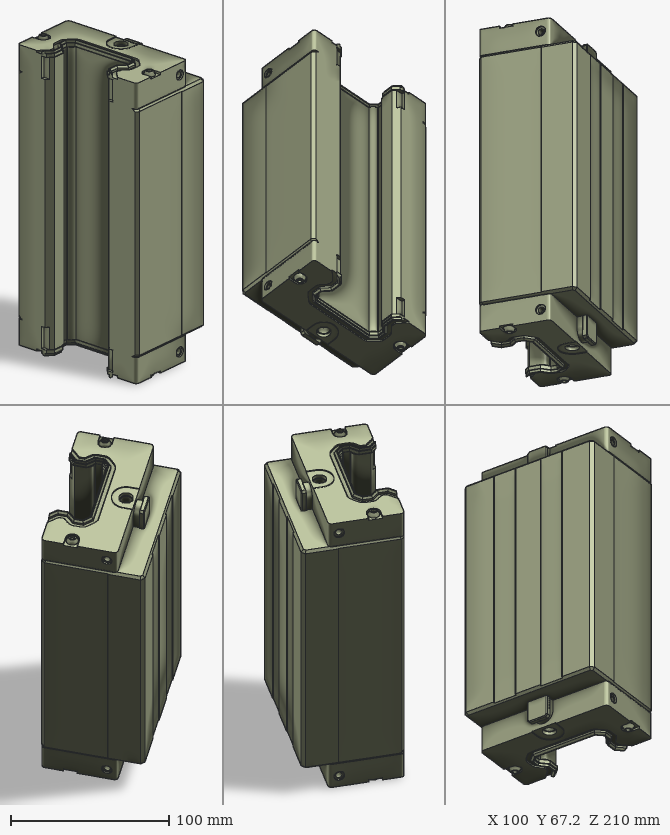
import cadquery as cq
import math


half_length = 105.0

block_width = 100.0
block_height = 67.2
block_half_length = 85.5
side_step = 0.2
side_step_y = 43.5
block_chamfer = 2.3
end_chamfer = 1.7
pad_groove_depth = 0.6
pad_groove_near_x = 9.7
pad_groove_far_x = 26.2

cap_width = 98.0
cap_height = 49.5
cap_top_z = 103.5
cap_top_fillet = 2.5
cap_bottom_fillet = 2.3

roof_y = 25.5
lip_x = 22.3
lip_bevel = 4.2
track_radius = 3.8
track_blend = 0.6
lower_track_y = 12.4
overcut = 10.5

notch_near_x = 21.0
notch_far_x = 29.2
notch_depth = 2.0
seal_bottom_z = 100.8

seal_roof_y = 25.0
seal_roof_corner_x = 22.7
seal_wall_x = 26.5
seal_wall_top_y = 21.5
seal_wall_bottom_y = 17.0
seal_lip_x = 21.6
seal_lip_top_y = 12.0
seal_lip_bottom_y = 3.8
rib_width = 2.7
rib_bevel = 1.3
rib_ledge_width = 0.8
rib_ledge_z = 103.3
recess_offset = 5.7
recess_floor_z = 102.3

screw_x = 43.7
screw_y = 19.0
screw_slot_width = 9.0
screw_seat_z = 102.0
screw_head_radius = 7.8 / 2
screw_shoulder_radius = 3.4
screw_crown_radius = 2.3
screw_socket_diameter = 3.0
screw_socket_depth = 1.7

port_y = 43.3
port_bore = 9.0
port_bore_depth = 3.2
port_hole = 7.8
port_hole_depth = 8.5
port_pad_radius = 9.2
port_pad_depth = 0.6

side_port_y = 42.6
side_port_z = 95.3
side_port_diameter = 6.7
side_port_depth = 1.3
side_port_hole = 4.2
side_port_hole_depth = 6.3

plug_z = 93.0
plug_neck_radius = 14.0 / 2
plug_head_half_width = 15.3 / 2
plug_head_bottom_y = 53.8
plug_top_y = 57.0
plug_corner_trim = 1.5
plug_chamfer = 0.6


def box(x0, x1, y0, y1, z0, z1):
    """Box between two opposite corners."""
    return cq.Workplane("XY").box(x1 - x0, y1 - y0, z1 - z0, centered=False).translate((x0, y0, z0))


def mirrored_outline(right_half):
    """Closed outline from its right half, running from the top to the bottom."""
    left_half = [(-x, y) for x, y in reversed(right_half)]
    return cq.Workplane("XY").polyline(right_half + left_half).close()


def make_block():
    half_width = block_width / 2
    block = box(-half_width, half_width, 0, block_height, 0, block_half_length)
    block = block.edges("|Z").chamfer(block_chamfer)
    block = block.faces(">Z").edges("not <Y").chamfer(end_chamfer)
    groove = box(pad_groove_near_x, pad_groove_far_x, block_height - pad_groove_depth, block_height,
                 0, block_half_length)
    relief = box(half_width - side_step, half_width, 0, side_step_y, 0, block_half_length)
    cuts = groove.union(relief)
    return block.cut(cuts).cut(cuts.mirror("YZ"))


def make_cap():
    cap = box(-cap_width / 2, cap_width / 2, 0, cap_height, block_half_length, cap_top_z)
    cap = cap.edges("|Z and >Y").fillet(cap_top_fillet)
    return cap.edges("|Z and <Y").fillet(cap_bottom_fillet)


def make_plug():
    """Round-ended neck under a square head with trimmed corners."""
    neck_length = plug_head_bottom_y - cap_height
    neck = cq.Workplane("XZ", origin=(0, cap_height, plug_z)).circle(plug_neck_radius).extrude(-neck_length)
    neck = neck.union(box(-plug_neck_radius, plug_neck_radius, cap_height, plug_head_bottom_y,
                          block_half_length, plug_z))
    head = box(-plug_head_half_width, plug_head_half_width, plug_head_bottom_y, plug_top_y,
               block_half_length, plug_z + plug_head_half_width)
    head = head.edges("|Y and >Z").chamfer(plug_corner_trim)
    head = head.faces(">Y").edges("not <Z").chamfer(plug_chamfer)
    return neck.union(head)


def make_channel():
    """Rail channel, with rounded ball tracks bulging in at its upper corners and above its lips."""
    track_x = lip_x + track_radius
    diagonal = track_radius * math.sqrt(0.5)
    tilt_x = track_x - diagonal
    wall_x = track_x + track_blend
    wall_top = roof_y - track_radius
    wall_bottom = lower_track_y + track_radius
    right = (
        cq.Workplane("XY")
        .moveTo(0, roof_y)
        .lineTo(lip_x, roof_y)
        .threePointArc((tilt_x, roof_y - diagonal), (track_x, wall_top))
        .lineTo(wall_x, wall_top - track_blend)
        .lineTo(wall_x, wall_bottom + track_blend)
        .lineTo(track_x, wall_bottom)
        .threePointArc((tilt_x, lower_track_y + diagonal), (lip_x, lower_track_y))
        .lineTo(lip_x, lip_bevel)
        .lineTo(lip_x + lip_bevel + overcut, -overcut)
        .lineTo(0, -overcut)
        .close()
        .extrude(seal_bottom_z)
    )
    return right.union(right.mirror("YZ"))


def seal_prism(offset, z0, z1, corners="intersection"):
    """Seal opening, grown outward by an offset, between two heights."""
    drop = seal_lip_bottom_y + overcut
    outline = mirrored_outline([
        (seal_roof_corner_x, seal_roof_y),
        (seal_wall_x, seal_wall_top_y),
        (seal_wall_x, seal_wall_bottom_y),
        (seal_lip_x, seal_lip_top_y),
        (seal_lip_x, seal_lip_bottom_y),
        (seal_lip_x + drop, -overcut),
    ])
    if offset:
        outline = outline.offset2D(offset, corners)
    return outline.extrude(z1 - z0).translate((0, 0, z0))


def make_seal_rib():
    rib = seal_prism(rib_width, recess_floor_z, half_length)
    rib = rib.faces(">Z").chamfer(rib_bevel)
    rib = rib.cut(seal_prism(0, recess_floor_z, half_length))
    rib = rib.cut(seal_prism(rib_ledge_width, rib_ledge_z, half_length))
    reach = block_width / 2
    return rib.intersect(box(-reach, reach, 0, block_height, 0, half_length))


def make_screw():
    head = (
        cq.Workplane("XZ")
        .moveTo(0, screw_seat_z)
        .lineTo(screw_head_radius, screw_seat_z)
        .threePointArc((screw_shoulder_radius, cap_top_z), (screw_crown_radius, half_length))
        .lineTo(0, half_length)
        .close()
        .revolve(360, (0, 0), (0, 1))
    )
    return head.faces(">Z").workplane().hole(screw_socket_diameter, screw_socket_depth)


def cut_port(body):
    """Blind stepped grease port inside a shallow round-ended recess."""
    pad = cq.Workplane("XY").circle(port_pad_radius).extrude(port_pad_depth)
    pad = pad.union(box(-port_pad_radius, port_pad_radius, 0, cap_height - port_y, 0, port_pad_depth))
    body = body.cut(pad.translate((0, port_y, cap_top_z - port_pad_depth)))
    for diameter, depth in ((port_bore, port_bore_depth), (port_hole, port_hole_depth)):
        hole = cq.Workplane("XY").circle(diameter / 2).extrude(-depth)
        body = body.cut(hole.translate((0, port_y, cap_top_z)))
    return body


def make_screw_slot():
    """Round-ended screw seat that opens to the side of the cap."""
    slot_half = screw_slot_width / 2
    seat_depth = cap_top_z - screw_seat_z
    seat = cq.Workplane("XY", origin=(screw_x, screw_y, screw_seat_z)).circle(slot_half).extrude(seat_depth)
    return seat.union(box(screw_x, cap_width / 2, screw_y - slot_half, screw_y + slot_half,
                          screw_seat_z, cap_top_z))


def make_side_port():
    """Stepped blind grease port drilled in from the +X side."""
    side_face = cq.Workplane("YZ", origin=(cap_width / 2, side_port_y, side_port_z))
    counterbore = side_face.circle(side_port_diameter / 2).extrude(-side_port_depth)
    return counterbore.union(side_face.circle(side_port_hole / 2).extrude(-side_port_hole_depth))


def add_side_details(body):
    """Screws, lip notches and side ports on both sides of the cap."""
    notch = box(notch_near_x, notch_far_x, 0, notch_depth, block_half_length, seal_bottom_z)
    cuts = make_screw_slot().union(notch).union(make_side_port())
    screw = make_screw().translate((screw_x, screw_y, 0))
    body = body.cut(cuts).cut(cuts.mirror("YZ"))
    return body.union(screw).union(screw.mirror("YZ"))


half = make_block().union(make_cap()).union(make_plug())
half = half.cut(make_channel())
half = half.cut(seal_prism(0, seal_bottom_z, half_length))
half = half.cut(seal_prism(recess_offset, recess_floor_z, half_length, "arc"))
half = half.union(make_seal_rib())
half = cut_port(half)
half = add_side_details(half)

result = half.union(half.mirror("XY"))